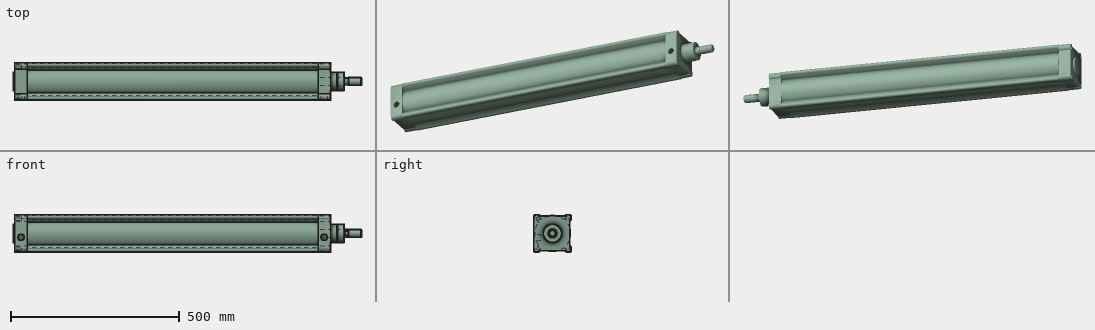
import cadquery as cq
import math

TOTAL_LENGTH = 1032.7
WIDTH = 111.5
BARREL_LENGTH = 861.5
CAP_LENGTH = 37.0

HALF_WIDTH = WIDTH / 2

BARREL_SIDE_RADIUS = 53.2
BARREL_VALLEY = 33.0
BARREL_CORNER_RADIUS = 6.5

CAP_CORNER_RADIUS = 10.75
CAP_CORNER_CENTER = HALF_WIDTH - CAP_CORNER_RADIUS
CAP_FLAT = 51.5

PORT_DIAMETER = 19.0
PORT_DEPTH = 20.0
PORT_INSET = 19.0
PORT_DROP = 11.6
SCREW_HOLE_SPACING = 88.5
SCREW_HOLE_DIAMETER = 9.5
SCREW_HOLE_DEPTH = 20.0

BOSS_DIAMETER = 55.0
REAR_BOSS_LENGTH = 4.5
COLLAR_LENGTH = 40.0
COLLAR_GROOVE_START = 18.5
COLLAR_GROOVE_WIDTH = 3.0
COLLAR_GROOVE_DEPTH = 0.5
COLLAR_CHAMFER_LENGTH = 2.5
COLLAR_CHAMFER_DEPTH = 0.5

ROD_DIAMETER = 24.0
NECK_LENGTH = 12.0
NECK_FLATS = 20.5
FLAT_GAP = 2.0
THREAD_START_CHAMFER = 2.0
THREAD_END_CHAMFER = 3.0

REAR_CAP_X = REAR_BOSS_LENGTH
BARREL_X = REAR_CAP_X + CAP_LENGTH
FRONT_CAP_X = BARREL_X + BARREL_LENGTH
COLLAR_X = FRONT_CAP_X + CAP_LENGTH
COLLAR_END_X = COLLAR_X + COLLAR_LENGTH
THREAD_X = COLLAR_END_X + NECK_LENGTH

CORNER_SIGNS = [(-1, -1), (-1, 1), (1, -1), (1, 1)]


def section_at(x):
    """Plane across the axis; its local axes are Y and Z."""
    return cq.Workplane("YZ", origin=(x, 0, 0))


def turned(point, quarter):
    """Turn a section point about the axis by a number of quarter turns."""
    y, z = point
    for _ in range(quarter):
        y, z = -z, y
    return (y, z)


def at_corners(distance):
    """Four section points, each at the same distance from the axis along Y and along Z."""
    return [(sy * distance, sz * distance) for sy, sz in CORNER_SIGNS]


def make_barrel():
    corner_center = HALF_WIDTH - BARREL_CORNER_RADIUS
    corner_middle = corner_center + BARREL_CORNER_RADIUS * math.sqrt(0.5)
    valley = (math.sqrt(BARREL_SIDE_RADIUS**2 - BARREL_VALLEY**2), BARREL_VALLEY)
    from_corner = (valley[0] - corner_center, valley[1] - corner_center)
    valley_angle = math.atan2(from_corner[1], from_corner[0])
    tangent_angle = valley_angle + math.acos(BARREL_CORNER_RADIUS / math.hypot(*from_corner))
    tangent = (
        corner_center + BARREL_CORNER_RADIUS * math.cos(tangent_angle),
        corner_center + BARREL_CORNER_RADIUS * math.sin(tangent_angle),
    )

    outline = section_at(BARREL_X).moveTo(valley[0], -valley[1])
    for quarter in range(4):
        outline = (
            outline.threePointArc(
                turned((BARREL_SIDE_RADIUS, 0), quarter),
                turned(valley, quarter),
            )
            .lineTo(*turned(tangent, quarter))
            .threePointArc(
                turned((corner_middle, corner_middle), quarter),
                turned((tangent[1], tangent[0]), quarter),
            )
            .lineTo(*turned((valley[1], valley[0]), quarter))
        )
    return outline.close().extrude(BARREL_LENGTH)


def make_cap(x, port_x):
    """Cap with four corner rounds, a full-width port side at -Y and a port in that side."""
    core = section_at(x).rect(2 * CAP_FLAT, 2 * CAP_FLAT).extrude(CAP_LENGTH)
    corner_rounds = (
        section_at(x)
        .pushPoints(at_corners(CAP_CORNER_CENTER))
        .circle(CAP_CORNER_RADIUS)
        .extrude(CAP_LENGTH)
    )
    port_side = (
        section_at(x)
        .center(-HALF_WIDTH + CAP_CORNER_RADIUS / 2, 0)
        .rect(CAP_CORNER_RADIUS, 2 * CAP_CORNER_CENTER)
        .extrude(CAP_LENGTH)
    )
    envelope = (
        section_at(x)
        .rect(WIDTH, WIDTH)
        .extrude(CAP_LENGTH)
        .edges("|X")
        .fillet(CAP_CORNER_RADIUS)
    )
    port = (
        cq.Workplane("XZ", origin=(port_x, -HALF_WIDTH, -PORT_DROP))
        .circle(PORT_DIAMETER / 2)
        .extrude(-PORT_DEPTH)
    )
    return core.union(corner_rounds).union(port_side).intersect(envelope).cut(port)


def make_rear_cap():
    boss = section_at(0).circle(BOSS_DIAMETER / 2).extrude(REAR_BOSS_LENGTH)
    screw_holes = (
        section_at(REAR_CAP_X)
        .pushPoints(at_corners(SCREW_HOLE_SPACING / 2))
        .circle(SCREW_HOLE_DIAMETER / 2)
        .extrude(SCREW_HOLE_DEPTH)
    )
    return make_cap(REAR_CAP_X, REAR_CAP_X + PORT_INSET).union(boss).cut(screw_holes)


def make_front_cap():
    collar = (
        section_at(COLLAR_X)
        .circle(BOSS_DIAMETER / 2)
        .extrude(COLLAR_LENGTH)
        .faces(">X")
        .edges()
        .chamfer(COLLAR_CHAMFER_LENGTH, COLLAR_CHAMFER_DEPTH)
    )
    groove = (
        section_at(COLLAR_X + COLLAR_GROOVE_START)
        .circle(BOSS_DIAMETER / 2)
        .circle(BOSS_DIAMETER / 2 - COLLAR_GROOVE_DEPTH)
        .extrude(COLLAR_GROOVE_WIDTH)
    )
    rod_bore = section_at(FRONT_CAP_X).circle(ROD_DIAMETER / 2).extrude(CAP_LENGTH + COLLAR_LENGTH)
    return make_cap(FRONT_CAP_X, COLLAR_X - PORT_INSET).union(collar).cut(groove).cut(rod_bore)


def make_rod():
    shank = section_at(FRONT_CAP_X).circle(ROD_DIAMETER / 2).extrude(THREAD_X - FRONT_CAP_X)
    flats_x = COLLAR_END_X + FLAT_GAP
    flats_length = THREAD_X - flats_x
    for side in (-1, 1):
        flat_cut = (
            section_at(flats_x)
            .center(side * (NECK_FLATS / 2 + ROD_DIAMETER / 2), 0)
            .rect(ROD_DIAMETER, 2 * ROD_DIAMETER)
            .extrude(flats_length)
        )
        shank = shank.cut(flat_cut)
    thread = (
        section_at(THREAD_X)
        .circle(ROD_DIAMETER / 2)
        .extrude(TOTAL_LENGTH - THREAD_X)
        .faces("<X")
        .chamfer(THREAD_START_CHAMFER)
        .faces(">X")
        .chamfer(THREAD_END_CHAMFER)
    )
    return shank.union(thread)


barrel = make_barrel()
rear_cap = make_rear_cap()
front_cap = make_front_cap()
rod = make_rod()

result = cq.Compound.makeCompound([barrel.val(), rear_cap.val(), front_cap.val(), rod.val()])